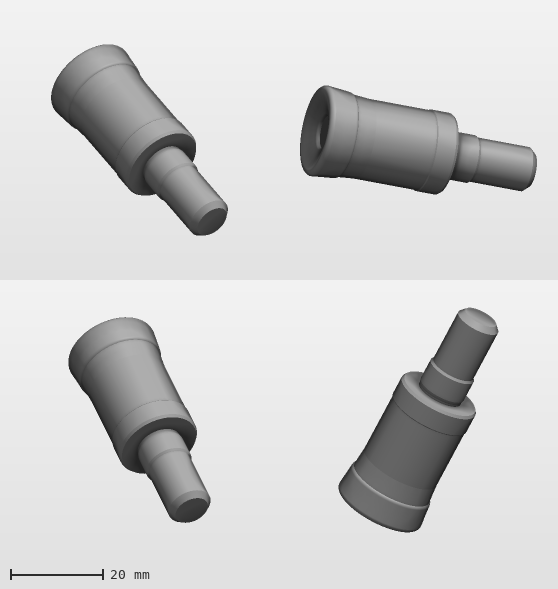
import cadquery as cq
import math

total_length = 50.0
body_end = 30.0
cup_length = 6.65
flare_end = 10.85

cup_radius = 10.0
lip_round = 1.0
cup_taper_angle = math.radians(5.5)
cup_taper_end = 5.95
cup_base_radius = 9.15
back_bulge = 0.1
cone_angle = math.radians(19)
bore_round = 0.65
bore_radius = 3.6

boss_face = 2.45
barrel_radius = 17.6 / 2
collar_radius = 18.0 / 2
collar_start = 25.15
collar_lead = 0.25
collar_chamfer_length = 0.6
collar_chamfer_height = 0.4

neck_radius = 5.05
neck_end = 30.45
shoulder_radius = 10.5 / 2
shoulder_start = 31.2
shoulder_end = 36.05
shank_radius = 9.75 / 2
shank_start = 36.6
tip_chamfer_length = 1.3
tip_radius = 3.75


def revolve_about_x(profile):
    """Turn a closed (x, radius) profile in the XY plane about the X axis."""
    return profile.close().revolve(360, (0, 0, 0), (1, 0, 0))


def round_point(center, radius, angle):
    """Point (x, radius) on a round, with the angle turned from the mouth towards the outside."""
    return (center[0] - radius * math.cos(angle), center[1] + radius * math.sin(angle))


def make_cup():
    """Flared ring with a rounded lip, a conical mouth and a rounded bore edge."""
    lip_center = (lip_round, cup_radius - lip_round)
    lip_inner = round_point(lip_center, lip_round, -cone_angle)
    lip_front = round_point(lip_center, lip_round, 0)
    lip_outer = round_point(lip_center, lip_round, math.pi / 2 + cup_taper_angle)

    bore_center_radius = bore_radius + bore_round
    cone_run = lip_inner[1] - (bore_center_radius - bore_round * math.sin(cone_angle))
    cone_end_x = lip_inner[0] + cone_run * math.tan(cone_angle)
    bore_center = (cone_end_x + bore_round * math.cos(cone_angle), bore_center_radius)
    bore_round_start = round_point(bore_center, bore_round, -cone_angle)
    bore_round_middle = round_point(bore_center, bore_round, -(math.pi / 2 + cone_angle) / 2)
    bore_round_end = round_point(bore_center, bore_round, -math.pi / 2)

    taper_end_radius = lip_outer[1] - (cup_taper_end - lip_outer[0]) * math.tan(cup_taper_angle)
    back_middle = (
        (cup_taper_end + cup_length) / 2,
        (taper_end_radius + cup_base_radius) / 2 + back_bulge,
    )
    profile = (
        cq.Workplane("XY")
        .moveTo(cup_length, bore_radius)
        .lineTo(*bore_round_end)
        .threePointArc(bore_round_middle, bore_round_start)
        .lineTo(*lip_inner)
        .threePointArc(lip_front, lip_outer)
        .lineTo(cup_taper_end, taper_end_radius)
        .threePointArc(back_middle, (cup_length, cup_base_radius))
    )
    return revolve_about_x(profile)


def make_body():
    """Turned body: boss, flared barrel, collar, neck, shoulder and shank."""
    profile = (
        cq.Workplane("XY")
        .moveTo(boss_face, 0)
        .lineTo(boss_face, bore_radius)
        .lineTo(cup_length, bore_radius)
        .lineTo(cup_length, cup_base_radius)
        .lineTo(flare_end, barrel_radius)
        .lineTo(collar_start - collar_lead, barrel_radius)
        .lineTo(collar_start, collar_radius)
        .lineTo(body_end - collar_chamfer_length, collar_radius)
        .lineTo(body_end, collar_radius - collar_chamfer_height)
        .lineTo(body_end, neck_radius)
        .lineTo(neck_end, neck_radius)
        .lineTo(shoulder_start, shoulder_radius)
        .lineTo(shoulder_end, shoulder_radius)
        .lineTo(shank_start, shank_radius)
        .lineTo(total_length - tip_chamfer_length, shank_radius)
        .lineTo(total_length, tip_radius)
        .lineTo(total_length, 0)
    )
    return revolve_about_x(profile)


cup = make_cup()
body = make_body()
result = cq.Compound.makeCompound([cup.val(), body.val()])